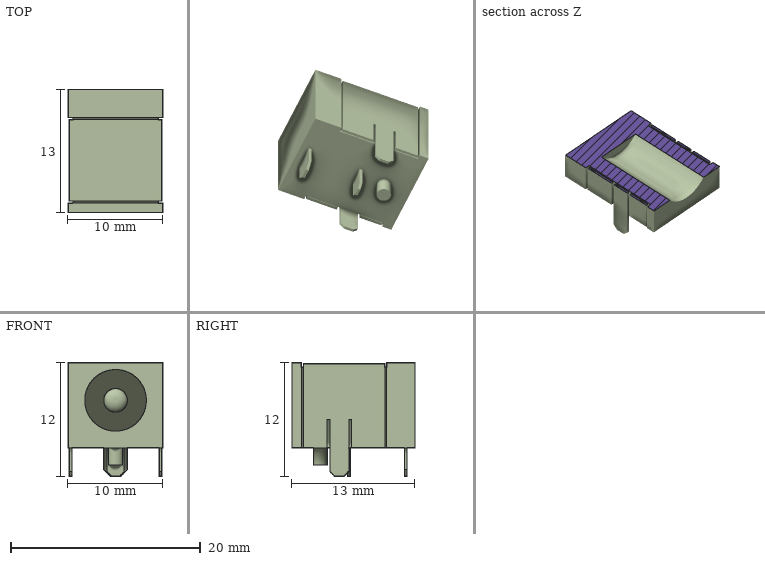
import cadquery as cq


LENGTH = 13.0
WIDTH = 10.0
HEIGHT = 9.0
FRONT_FLANGE = 1.0
REAR_FLANGE = 3.0
REAR_FLANGE_Y = LENGTH - REAR_FLANGE
CORE_INSET = 0.5

SOCKET_DIAMETER = 6.5
SOCKET_Z = 5.0
SOCKET_DEPTH = REAR_FLANGE_Y
CONTACT_DIAMETER = 2.5
CONTACT_TIP_DIAMETER = 0.5
CONTACT_ROUNDING = (CONTACT_DIAMETER - CONTACT_TIP_DIAMETER) / 2

PEG_DIAMETER = 1.5
PEG_LENGTH = 1.82
PEG_Y = 3.0

SHEET = 0.3
LEG_LENGTH = 3.0
REAR_LEG_WIDTH = 2.5
REAR_LEG_CHAMFER = 0.7
REAR_LEG_Y = 12.0
MIDDLE_LEG_WIDTH = 1.82
MIDDLE_LEG_Y = 6.0
SIDE_LEG_WIDTH = 2.0
SIDE_LEG_Y = 5.0
SMALL_LEG_CHAMFER = 0.5

SHELL_INSET = 0.1
END_GAP = 0.2
SHELL_WIDTH = WIDTH - 2 * SHELL_INSET
SHELL_HEIGHT = HEIGHT - SHELL_INSET
SHELL_FRONT_Y = FRONT_FLANGE + END_GAP
SHELL_LENGTH = REAR_FLANGE_Y - END_GAP - SHELL_FRONT_Y
SLOT_WIDTH = 0.3
SLOT_HEIGHT = 3.0


def upright_block(width, length, height, front_y):
    """Block centered on X, standing on Z = 0, with its front face at front_y."""
    block = cq.Workplane("XY").box(width, length, height, centered=(True, False, False))
    return block.translate((0, front_y, 0))


def leg_plate(width, chamfer, top=0.0):
    """Leg in the XZ plane, centered on X and Y, with chamfered lower corners."""
    plate = cq.Workplane("XY").box(width, SHEET, top + LEG_LENGTH, centered=(True, True, False))
    plate = plate.translate((0, 0, -LEG_LENGTH))
    return plate.faces("<Z").edges("|Y").chamfer(chamfer)


def make_center_contact():
    rod = cq.Workplane("XZ", origin=(0, 0, SOCKET_Z)).circle(CONTACT_DIAMETER / 2).extrude(-SOCKET_DEPTH)
    return rod.faces("<Y").edges().fillet(CONTACT_ROUNDING)


def make_housing():
    core = upright_block(WIDTH - 2 * CORE_INSET, LENGTH, HEIGHT - CORE_INSET, 0)
    front_flange = upright_block(WIDTH, FRONT_FLANGE, HEIGHT, 0)
    rear_flange = upright_block(WIDTH, REAR_FLANGE, HEIGHT, REAR_FLANGE_Y)
    body = core.union(front_flange).union(rear_flange)

    socket = cq.Workplane("XZ", origin=(0, 0, SOCKET_Z)).circle(SOCKET_DIAMETER / 2).extrude(-SOCKET_DEPTH)
    peg = cq.Workplane("XY", origin=(0, PEG_Y, 0)).circle(PEG_DIAMETER / 2).extrude(-PEG_LENGTH)
    rear_leg = leg_plate(REAR_LEG_WIDTH, REAR_LEG_CHAMFER).translate((0, REAR_LEG_Y, 0))
    middle_leg = leg_plate(MIDDLE_LEG_WIDTH, SMALL_LEG_CHAMFER).translate((0, MIDDLE_LEG_Y, 0))

    body = body.cut(socket).union(make_center_contact())
    return body.union(peg).union(rear_leg).union(middle_leg)


def make_shell():
    outside = upright_block(SHELL_WIDTH, SHELL_LENGTH, SHELL_HEIGHT, SHELL_FRONT_Y)
    inside = upright_block(SHELL_WIDTH - 2 * SHEET, SHELL_LENGTH, SHELL_HEIGHT - SHEET, SHELL_FRONT_Y)
    shell = outside.cut(inside)

    slot_offset = (SIDE_LEG_WIDTH + SLOT_WIDTH) / 2
    for side in (-1, 1):
        slot_front_y = SIDE_LEG_Y + side * slot_offset - SLOT_WIDTH / 2
        shell = shell.cut(upright_block(SHELL_WIDTH, SLOT_WIDTH, SLOT_HEIGHT, slot_front_y))

    leg = leg_plate(SIDE_LEG_WIDTH, SMALL_LEG_CHAMFER, top=SLOT_HEIGHT)
    leg = leg.rotate((0, 0, 0), (0, 0, 1), 90)
    for side in (-1, 1):
        leg_x = side * (SHELL_WIDTH - SHEET) / 2
        shell = shell.union(leg.translate((leg_x, SIDE_LEG_Y, 0)))
    return shell


housing = make_housing()
shell = make_shell()
result = cq.Compound.makeCompound([housing.solids().val(), shell.solids().val()])